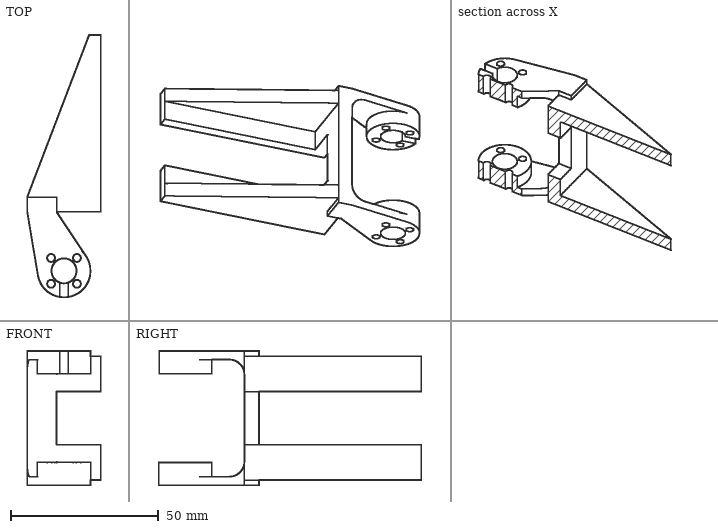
import cadquery as cq
import math


bar_width = 10.0
bar_thickness = 5.0
bar_front = 20.0
bar_back = bar_front + bar_thickness
bar_height = 45.6
bar_top = bar_height / 2

overall_width = 25.0
rail_end = 80.0
rail_width = 4.0
rail_left = overall_width - rail_width
rail_outer_z = 21.0
rail_inner_z = 9.0
web_thickness = 5.0

arm_thickness = 3.0
arm_fillet = 5.0
boss_x = overall_width / 2
boss_radius = 9.0
boss_height = 7.8
bore_diameter = 8.4
screw_diameter = 2.6
screw_circle_radius = 6.2
screw_count = 4
first_screw_angle = 45.0
slot_width = 3.0


def box(x_min, x_max, y_min, y_max, z_min, z_max):
    """Box spanning the given limits."""
    size = (x_max - x_min, y_max - y_min, z_max - z_min)
    return cq.Workplane("XY").box(*size, centered=False).translate((x_min, y_min, z_min))


def tangent_point(x, y, side):
    """Point where a line from (x, y) touches the boss circle; side is +1 for right, -1 for left."""
    to_start = math.atan2(y, x - boss_x)
    half_angle = math.acos(boss_radius / math.hypot(x - boss_x, y))
    angle = to_start - side * half_angle
    return (boss_x + boss_radius * math.cos(angle), boss_radius * math.sin(angle))


def crossbar():
    """Upright bar carrying the arms."""
    return box(0, bar_width, bar_front, bar_back, -bar_top, bar_top)


def upper_rail():
    """End block, tapered web and straight rail, forming an L section."""
    block = box(0, overall_width, bar_front, bar_back, rail_inner_z, rail_outer_z)
    rail = box(rail_left, overall_width, bar_front, rail_end, rail_inner_z, rail_outer_z)
    web_outline = [
        (0, bar_back),
        (overall_width, bar_back),
        (overall_width, rail_end),
        (rail_left, rail_end),
    ]
    web = (
        cq.Workplane("XY", origin=(0, 0, rail_outer_z - web_thickness))
        .polyline(web_outline)
        .close()
        .extrude(web_thickness)
    )
    return block.union(rail).union(web)


def arm_body(z_min, height):
    """Arm from the crossbar to the boss centre, its sides tangent to the boss, extruded up from z_min."""
    return (
        cq.Workplane("XY", origin=(0, 0, z_min))
        .moveTo(0, bar_front)
        .lineTo(*tangent_point(0, bar_front, -1))
        .lineTo(boss_x, 0)
        .lineTo(*tangent_point(bar_width, bar_front, 1))
        .lineTo(bar_width, bar_front)
        .close()
        .extrude(height)
    )


def corner_fillet(arm_underside):
    """Concave fillet between the crossbar and the arm, trimmed to the arm outline."""
    fillet_start = bar_front - arm_fillet
    corner = box(0, overall_width, fillet_start, bar_front, arm_underside - arm_fillet, arm_underside)
    round_cut = (
        cq.Workplane("YZ")
        .center(fillet_start, arm_underside - arm_fillet)
        .circle(arm_fillet)
        .extrude(overall_width)
    )
    outline = arm_body(arm_underside - arm_fillet, arm_fillet)
    return corner.cut(round_cut).intersect(outline)


def upper_arm():
    """Arm with its boss, flush on top, and the fillet at its root."""
    arm_underside = bar_top - arm_thickness
    arm = arm_body(arm_underside, arm_thickness)
    boss = (
        cq.Workplane("XY", origin=(boss_x, 0, bar_top - boss_height))
        .circle(boss_radius)
        .extrude(boss_height)
    )
    return arm.union(boss).union(corner_fillet(arm_underside))


def pivot_holes():
    """Bore and screw holes passing through both bosses."""
    base = cq.Workplane("XY", origin=(boss_x, 0, -bar_top))
    bore = base.circle(bore_diameter / 2).extrude(bar_height)
    screws = (
        base.polarArray(screw_circle_radius, first_screw_angle, 360, screw_count)
        .circle(screw_diameter / 2)
        .extrude(bar_height)
    )
    return bore.union(screws)


def bore_slot():
    """Slot opening the bore of the upper boss toward -Y."""
    half_slot = slot_width / 2
    return box(boss_x - half_slot, boss_x + half_slot, -boss_radius, 0, bar_top - boss_height, bar_top)


upper_half = upper_rail().union(upper_arm())
lower_half = upper_half.mirror("XY")
result = crossbar().union(upper_half).union(lower_half).cut(pivot_holes()).cut(bore_slot())